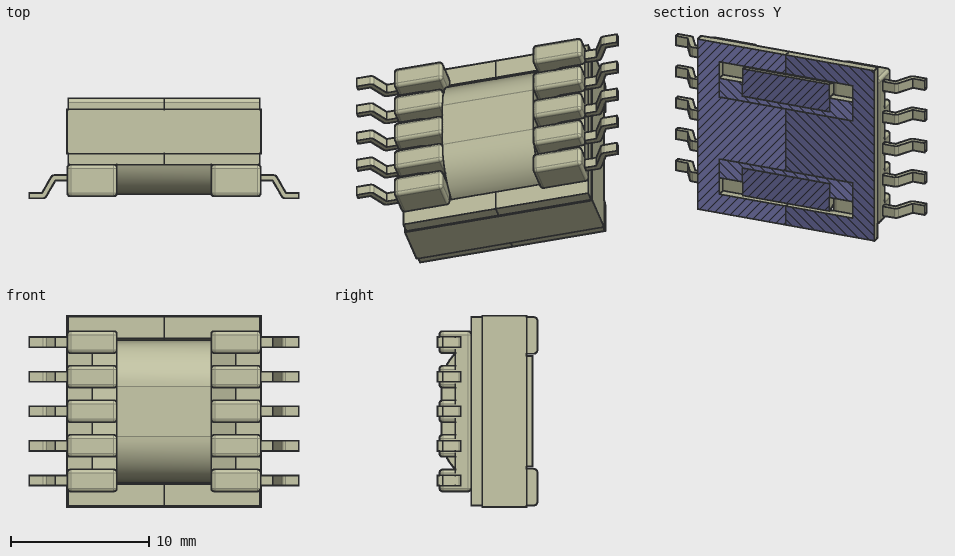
import cadquery as cq
import math


core_length = 13.85
core_width = 13.64
core_depth = 4.8
core_front = -core_depth / 2
core_rear = core_depth / 2
window_length = 10.4
centre_leg_width = 5.0
centre_leg_depth = 2.0
centre_leg_rear = core_front + centre_leg_depth
rear_channel_width = 8.3
rear_edge_radius = 0.3

tape_thickness = 0.1
tape_depth = 3.2

terminal_count = 5
terminal_pitch = 2.5
terminal_width = 1.6
terminal_length = 3.6
terminal_outer_x = 7.0
terminal_inner_x = terminal_outer_x - terminal_length
terminal_front = -4.7
terminal_radius = 0.25
bar_front = -3.55
bar_width = (terminal_count - 1) * terminal_pitch + terminal_width
bar_slope_drop = 0.6

tube_wall = 0.4
flange_outer_x = window_length / 2
flange_width = 8.0
flange_rear = 2.05
marker_radius = 1.0

lead_tip_x = 9.75
lead_foot_length = 0.93
lead_foot_front = -4.84
lead_thickness = 0.4
lead_width = 0.75
lead_top = bar_front + lead_thickness
lead_angle = 60.0
lead_bend_radius = 0.3

coil_front = -4.55
coil_rear = flange_rear
coil_flat_width = 3.6
coil_front_radius = 3.35
coil_clearance = 0.125

corner_y = coil_front + coil_front_radius
corner_z = coil_flat_width / 2
coil_side_z = corner_z + coil_front_radius
window_radius = coil_front_radius + coil_clearance
window_side_z = corner_z + window_radius

rear_channel_floor = corner_y + math.sqrt(window_radius**2 - (rear_channel_width / 2 - corner_z) ** 2)


def box(x_range, y_range, z_width):
    """Box between two X and two Y limits, centred on Z = 0."""
    x_size = x_range[1] - x_range[0]
    y_size = y_range[1] - y_range[0]
    block = cq.Workplane("XY").box(x_size, y_size, z_width, centered=(False, False, True))
    return block.translate((x_range[0], y_range[0], 0))


def mirrored(body):
    """Copy of a body on the other side of X = 0."""
    return body.mirror("YZ")


def make_core_half():
    """Right half of the core: end plate, two outer legs and a thin centre leg."""
    end_x = core_length / 2
    half = box((0, end_x), (core_front, core_rear), core_width)
    channel = box((0, end_x), (rear_channel_floor, core_rear), rear_channel_width)
    half = half.cut(channel)
    half = half.faces(">Y").edges("|X").fillet(rear_edge_radius)
    window = (
        cq.Workplane("YZ")
        .moveTo(core_front, -window_side_z)
        .lineTo(core_front, window_side_z)
        .lineTo(corner_y, window_side_z)
        .radiusArc((corner_y + window_radius, corner_z), window_radius)
        .lineTo(corner_y + window_radius, -corner_z)
        .radiusArc((corner_y, -window_side_z), window_radius)
        .close()
        .extrude(window_length / 2)
    )
    centre_leg = box((0, window_length / 2), (core_front, centre_leg_rear), centre_leg_width)
    return half.cut(window).union(centre_leg)


def make_tape():
    """Band wrapped once around the outside of the core."""
    core_space = cq.Workplane("XZ").rect(core_length, core_width).extrude(tape_depth / 2, both=True)
    outer_length = core_length + 2 * tape_thickness
    outer_width = core_width + 2 * tape_thickness
    band = cq.Workplane("XZ").rect(outer_length, outer_width).extrude(tape_depth / 2, both=True)
    return band.cut(core_space)


def make_terminal_bar():
    """Bar under the right-hand terminals; its front slopes away towards the coil."""
    bar = box((terminal_inner_x, terminal_outer_x), (bar_front, core_front), bar_width)
    bar = bar.edges("|Y").fillet(terminal_radius)
    bar = bar.faces(">Y").edges().fillet(terminal_radius)
    slope = (
        cq.Workplane("XY")
        .moveTo(flange_outer_x, bar_front)
        .lineTo(terminal_inner_x, bar_front + bar_slope_drop)
        .lineTo(terminal_inner_x, bar_front)
        .close()
        .extrude(bar_width / 2, both=True)
    )
    return bar.cut(slope)


def make_terminal():
    """One rounded terminal block, sunk into the bar."""
    root = core_front - terminal_radius
    block = box((terminal_inner_x, terminal_outer_x), (terminal_front, root), terminal_width)
    block = block.edges("|Y").fillet(terminal_radius)
    return block.faces("<Y").edges().fillet(terminal_radius)


def make_lead():
    """Gull-wing lead leaving the right-hand side; the outside of each bend is rounded."""
    foot_top = lead_foot_front + lead_thickness
    foot_inner_x = lead_tip_x - lead_foot_length
    slope_run = (lead_top - foot_top) / math.tan(math.radians(lead_angle))
    shoulder_x = foot_inner_x - slope_run
    bend_shift = lead_thickness * math.tan(math.radians(lead_angle / 2))
    lead = (
        cq.Workplane("XY")
        .moveTo(terminal_outer_x, lead_top)
        .lineTo(shoulder_x, lead_top)
        .lineTo(foot_inner_x, foot_top)
        .lineTo(lead_tip_x, foot_top)
        .lineTo(lead_tip_x, lead_foot_front)
        .lineTo(foot_inner_x - bend_shift, lead_foot_front)
        .lineTo(shoulder_x - bend_shift, bar_front)
        .lineTo(terminal_outer_x, bar_front)
        .close()
        .extrude(lead_width / 2, both=True)
    )
    upper_bend = cq.selectors.NearestToPointSelector((shoulder_x, lead_top, 0))
    lower_bend = cq.selectors.NearestToPointSelector((foot_inner_x - bend_shift, lead_foot_front, 0))
    lead = lead.edges(upper_bend).fillet(lead_bend_radius)
    return lead.edges(lower_bend).fillet(lead_bend_radius)


def make_bobbin_side():
    """Right-hand flange with its terminal bar, terminals and leads."""
    side = make_terminal_bar()
    terminal = make_terminal()
    lead = make_lead()
    for index in range(terminal_count):
        z = (index - (terminal_count - 1) / 2) * terminal_pitch
        side = side.union(terminal.translate((0, 0, z)))
        side = side.union(lead.translate((0, 0, z)))
    flange_front = core_front - terminal_radius
    flange = box((terminal_inner_x, flange_outer_x), (flange_front, flange_rear), flange_width)
    return side.union(flange)


def make_tube_envelope():
    """Outside of the bobbin tube between the flanges."""
    y_range = (core_front - tube_wall, centre_leg_rear + tube_wall)
    return box((-terminal_inner_x, terminal_inner_x), y_range, centre_leg_width + 2 * tube_wall)


def make_marker():
    """Round pin-one marker centred on the edge of the left-hand flange."""
    marker_z = marker_radius - flange_width / 2
    rear_plane = cq.Workplane("XZ", origin=(0, flange_rear, 0))
    marker = rear_plane.center(-flange_outer_x, marker_z).circle(marker_radius)
    return marker.extrude(flange_rear - rear_channel_floor)


def make_bobbin():
    """Both sides joined by the tube, with a passage for the centre leg."""
    side = make_bobbin_side()
    bobbin = side.union(mirrored(side)).union(make_tube_envelope()).union(make_marker())
    passage = box((-flange_outer_x, flange_outer_x), (core_front, centre_leg_rear), centre_leg_width)
    return bobbin.cut(passage)


def make_coil():
    """Winding around the bobbin tube: flat front, large front corners and smaller rear corners."""
    rear_radius = coil_rear - corner_y
    rear_z = coil_side_z - rear_radius
    coil = (
        cq.Workplane("YZ")
        .moveTo(coil_front, -corner_z)
        .lineTo(coil_front, corner_z)
        .radiusArc((corner_y, coil_side_z), coil_front_radius)
        .radiusArc((coil_rear, rear_z), rear_radius)
        .lineTo(coil_rear, -rear_z)
        .radiusArc((corner_y, -coil_side_z), rear_radius)
        .radiusArc((coil_front, -corner_z), coil_front_radius)
        .close()
        .extrude(terminal_inner_x, both=True)
    )
    return coil.cut(make_tube_envelope())


right_core = make_core_half()
left_core = mirrored(right_core)
tape = make_tape()
bobbin = make_bobbin()
coil = make_coil()

result = cq.Compound.makeCompound(
    [right_core.val(), left_core.val(), tape.val(), bobbin.val(), coil.val()]
)